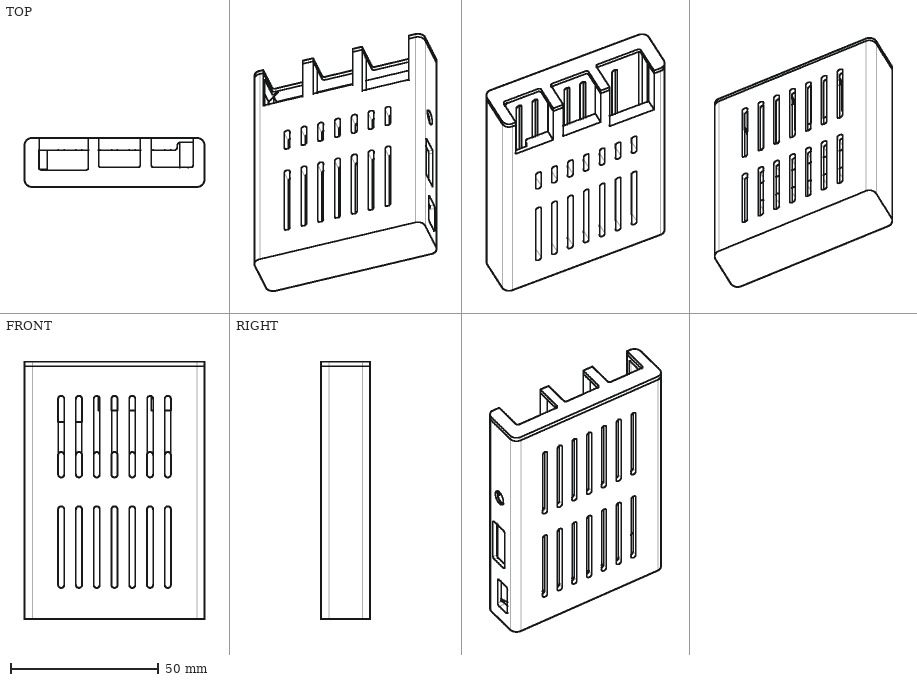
import cadquery as cq
WIDTH = 61.2
DEPTH = 16.7
HEIGHT = 87.4
EDGE_RADIUS = 2.6

WALL = 1.5
FLOOR = 0.5
CAP_THICKNESS = 1.5
HOUSING_HEIGHT = HEIGHT - CAP_THICKNESS

FRONT = -DEPTH / 2
BACK = DEPTH / 2
LEFT = -WIDTH / 2
RIGHT = WIDTH / 2

BAY_LEFT = LEFT + WALL
BAY_RIGHT = RIGHT - 2.2
BAY_FRONT = FRONT + 6.0
BAY_BACK = BACK - 4.2
LOWER_GUSSET = 6.2
UPPER_GUSSET = 3.4

RECESS_LEFT = 21.3
RECESS_BACK = BACK - WALL
RECESS_RADIUS = 1.1

GROOVE_FRONT = FRONT + 4.4
GROOVE_HALF_WIDTH = WIDTH / 2 - WALL

LEDGE_WIDTH = 2.0
CLEARANCE_FRONT = FRONT + 1.75
CLEARANCE_HALF_WIDTH = GROOVE_HALF_WIDTH - LEDGE_WIDTH

SLOT_COUNT = 7
SLOT_PITCH = 6.0
SLOT_WIDTH = 2.0
SLOT_LENGTH = 27.6
LOWER_SLOT_BOTTOM = 10.7
UPPER_SLOT_BOTTOM = 48.2
SHORT_SLOT_LENGTH = 8.6

NOTCH_RADIUS = 0.8
NOTCHES = [
    (-25.6, 16.8, FRONT + 5.8, 66.95),
    (-5.4, 14.2, FRONT + 6.6, 70.9),
    (12.5, 14.2, FRONT + 6.6, 70.9),
]

OPENING_DEPTH = 1.6
ROUND_OPENING_DIAMETER = 5.0
ROUND_OPENING_Y = 0.8
ROUND_OPENING_Z = 54.6
ROUND_OPENING_RIM = 0.9
JACK_SEAT_DIAMETER = 8.0
JACK_SEAT_DEPTH = 1.4
RECTANGULAR_OPENINGS = [
    (-2.4, 4.7, 24.8, 16.9, OPENING_DEPTH, 0.7),
    (-4.1, 1.9, 5.8, 11.9, 3.5, 0.9),
]


def box_between(x_range, y_range, z_range):
    size = [high - low for low, high in (x_range, y_range, z_range)]
    corner = (x_range[0], y_range[0], z_range[0])
    return cq.Workplane("XY").box(*size, centered=False).translate(corner)


def rounded_block(bottom, height):
    block = cq.Workplane("XY", origin=(0, 0, bottom)).rect(WIDTH, DEPTH).extrude(height)
    return block.edges("|Z").fillet(EDGE_RADIUS)


def component_bay():
    bay_z = (0, HEIGHT)
    bay = box_between((BAY_LEFT, BAY_RIGHT), (BAY_FRONT, BAY_BACK), bay_z)
    recess = box_between((RECESS_LEFT, BAY_RIGHT), (BAY_FRONT, RECESS_BACK), bay_z)
    bay = bay.union(recess)
    step = cq.selectors.BoxSelector(
        (RECESS_LEFT - 0.1, BAY_BACK - 0.1, -0.9), (RECESS_LEFT + 0.1, RECESS_BACK + 0.1, HEIGHT + 0.9)
    )
    bay = bay.edges("|Z").edges(step).fillet(RECESS_RADIUS)
    bay = bay.edges("|Z").edges(">X and >Y").fillet(RECESS_RADIUS)
    outline = (
        cq.Workplane("XZ", origin=(0, BACK, 0))
        .moveTo(BAY_LEFT + LOWER_GUSSET, FLOOR)
        .lineTo(BAY_RIGHT - LOWER_GUSSET, FLOOR)
        .lineTo(BAY_RIGHT, FLOOR + LOWER_GUSSET)
        .lineTo(BAY_RIGHT, HOUSING_HEIGHT - UPPER_GUSSET)
        .lineTo(BAY_RIGHT - UPPER_GUSSET, HOUSING_HEIGHT)
        .lineTo(BAY_LEFT + UPPER_GUSSET, HOUSING_HEIGHT)
        .lineTo(BAY_LEFT, HOUSING_HEIGHT - UPPER_GUSSET)
        .lineTo(BAY_LEFT, FLOOR + LOWER_GUSSET)
        .close()
        .extrude(DEPTH)
    )
    return bay.intersect(outline)


def board_groove():
    return box_between(
        (-GROOVE_HALF_WIDTH, GROOVE_HALF_WIDTH), (GROOVE_FRONT, BAY_FRONT), (FLOOR, HOUSING_HEIGHT)
    )


def board_clearance():
    return box_between(
        (-CLEARANCE_HALF_WIDTH, CLEARANCE_HALF_WIDTH),
        (CLEARANCE_FRONT, GROOVE_FRONT),
        (FLOOR, HOUSING_HEIGHT),
    )


def slot_row(bottom, length, back_face, depth):
    return (
        cq.Workplane("XZ", origin=(0, back_face, bottom + length / 2))
        .rarray(SLOT_PITCH, 0.9, SLOT_COUNT, 1)
        .slot2D(length, SLOT_WIDTH, 90)
        .extrude(depth)
    )


def notch(left, width, front, bottom):
    block = box_between((left, left + width), (front, BACK), (bottom, HEIGHT))
    return block.edges("|Z and <Y").fillet(NOTCH_RADIUS)


def rectangular_opening(front, back, bottom, height, depth, radius):
    block = box_between((LEFT, LEFT + depth), (front, back), (bottom, bottom + height))
    return block.edges("|X").fillet(radius)


def round_opening():
    start = cq.Workplane("YZ", origin=(LEFT, ROUND_OPENING_Y, ROUND_OPENING_Z))
    hole = start.circle(ROUND_OPENING_DIAMETER / 2).extrude(OPENING_DEPTH)
    seat = (
        start.workplane(offset=ROUND_OPENING_RIM)
        .circle(JACK_SEAT_DIAMETER / 2)
        .extrude(JACK_SEAT_DEPTH)
    )
    return hole.union(seat)


def make_housing():
    housing = rounded_block(0, HOUSING_HEIGHT)
    housing = housing.cut(component_bay()).cut(board_groove()).cut(board_clearance())
    housing = housing.cut(slot_row(LOWER_SLOT_BOTTOM, SLOT_LENGTH, BACK, DEPTH))
    housing = housing.cut(slot_row(UPPER_SLOT_BOTTOM, SLOT_LENGTH, BAY_FRONT, BAY_FRONT - FRONT))
    housing = housing.cut(slot_row(UPPER_SLOT_BOTTOM, SHORT_SLOT_LENGTH, BACK, BACK - BAY_FRONT))
    for sizes in NOTCHES:
        housing = housing.cut(notch(*sizes))
    for sizes in RECTANGULAR_OPENINGS:
        housing = housing.cut(rectangular_opening(*sizes))
    return housing.cut(round_opening())


def make_cap():
    cap = rounded_block(HOUSING_HEIGHT, CAP_THICKNESS)
    for sizes in NOTCHES:
        cap = cap.cut(notch(*sizes))
    return cap


housing = make_housing()
cap = make_cap()
result = cq.Compound.makeCompound([housing.val(), cap.val()])